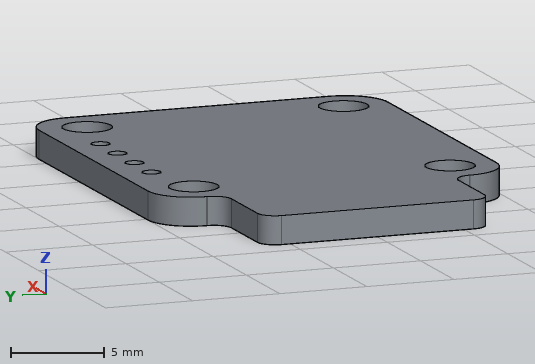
import cadquery as cq

length = 27.1
width = 20.0
thickness = 1.6
body_corner_radius = 2.45

tab_length = 5.88
tab_width = 13.04
tab_corner_radius = 1.0
neck_fillet_radius = 1.0

mount_diameter = 2.7
mount_spacing_x = 16.0
mount_spacing_y = 14.72
mount_center_y = -0.05
mount_edge_distance = 2.6

pin_diameter = 1.0
pin_count = 4
pin_pitch = 2.55
pin_edge_distance = 1.87

right_x = length / 2
body_left_x = tab_length - length / 2
body_length = length - tab_length
mount_center_x = right_x - mount_edge_distance - mount_spacing_x / 2
pin_center_x = mount_center_x
pin_y = width / 2 - pin_edge_distance


def plate_block(left_x, block_length, block_width):
    """Full-thickness block starting at left_x, centred on Y and Z."""
    return (
        cq.Workplane("XY")
        .box(block_length, block_width, thickness)
        .translate((left_x + block_length / 2, 0, 0))
    )


def make_outline():
    """Rounded body joined to the rounded tab, with filleted neck corners."""
    tab = plate_block(-length / 2, tab_length + body_length / 2, tab_width)
    tab = tab.edges("|Z").edges("<X").fillet(tab_corner_radius)
    body = plate_block(body_left_x, body_length, width)
    body = body.edges("|Z").edges(">X").fillet(body_corner_radius)
    plate = body.union(tab)
    for side in (-1, 1):
        neck = cq.selectors.NearestToPointSelector((body_left_x, side * tab_width / 2, 0))
        plate = plate.edges("|Z").edges(neck).fillet(neck_fillet_radius)
        corner = cq.selectors.NearestToPointSelector((body_left_x, side * width / 2, 0))
        plate = plate.edges("|Z").edges(corner).fillet(body_corner_radius)
    return plate


def through_cutters(points, diameter):
    """Cylinders through the full plate thickness at the given points."""
    return (
        cq.Workplane("XY", origin=(0, 0, -thickness / 2))
        .pushPoints(points)
        .circle(diameter / 2)
        .extrude(thickness)
    )


mount_points = [
    (mount_center_x + side_x * mount_spacing_x / 2, mount_center_y + side_y * mount_spacing_y / 2)
    for side_x in (-1, 1)
    for side_y in (-1, 1)
]
pin_points = [
    (pin_center_x + (i - (pin_count - 1) / 2) * pin_pitch, pin_y)
    for i in range(pin_count)
]

result = make_outline()
result = result.cut(through_cutters(mount_points, mount_diameter))
result = result.cut(through_cutters(pin_points, pin_diameter))